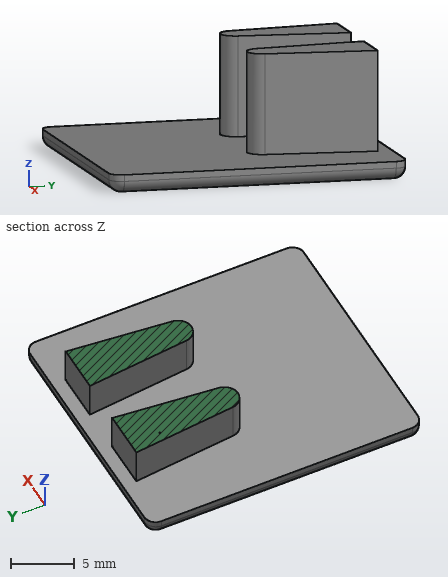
import cadquery as cq
import math

plate_width = 21.6
plate_length = 24.0
plate_thickness = 1.5
corner_radius = 1.0
bottom_edge_radius = 1.0

prong_height = 8.0
prong_length = 10.0
prong_back_width = 4.2
prong_tip_radius = 1.2
prong_spacing = 8.0
prong_back_inset = 1.2


def make_plate():
    """Rounded rectangular plate with its top face at Z = 0 and a rounded bottom edge."""
    plate = (
        cq.Workplane("XY")
        .box(plate_width, plate_length, plate_thickness, centered=(True, True, False))
        .translate((0, 0, -plate_thickness))
    )
    plate = plate.edges("|Z").fillet(corner_radius)
    return plate.faces("<Z").edges().fillet(bottom_edge_radius)


def make_prong(center_x):
    """Wedge that narrows toward -Y and ends in a round tip tangent to its sides."""
    back_y = plate_length / 2 - prong_back_inset
    tip_y = back_y - prong_length
    half_back = prong_back_width / 2

    tip_center_y = tip_y + prong_tip_radius
    center_to_back = back_y - tip_center_y
    corner_distance = math.hypot(half_back, center_to_back)
    taper_angle = math.atan2(half_back, center_to_back) - math.asin(prong_tip_radius / corner_distance)
    tangent_x = prong_tip_radius * math.cos(taper_angle)
    tangent_y = tip_center_y - prong_tip_radius * math.sin(taper_angle)

    return (
        cq.Workplane("XY")
        .moveTo(center_x - half_back, back_y)
        .lineTo(center_x - tangent_x, tangent_y)
        .threePointArc((center_x, tip_y), (center_x + tangent_x, tangent_y))
        .lineTo(center_x + half_back, back_y)
        .close()
        .extrude(prong_height)
    )


result = make_plate()
for side in (-1, 1):
    result = result.union(make_prong(side * prong_spacing / 2))